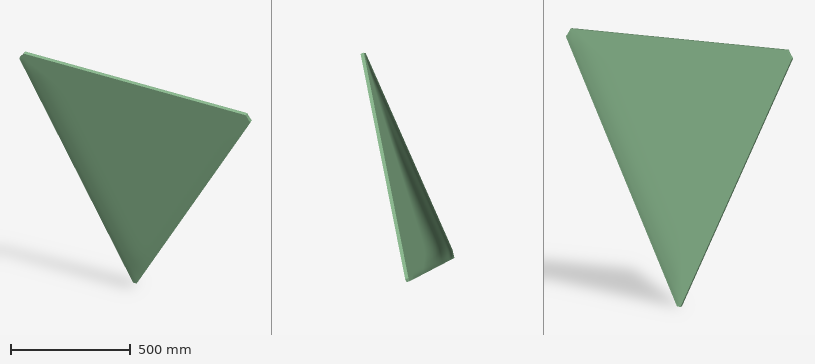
import cadquery as cq
import math

height = 1142.0
width = 1041.0
thickness = 15.0

top_width = 1000.0
corner_drop = 34.0
corner_scoop = 1.5
tip_width = 16.0


def scoop_middle(side):
    """Midpoint of the concave corner arc; side is +1 for right, -1 for left."""
    corner_run = (width - top_width) / 2
    chord = math.hypot(corner_run, corner_drop)
    x = (width + top_width) / 4 - corner_scoop * corner_drop / chord
    z = height - corner_drop / 2 - corner_scoop * corner_run / chord
    return (side * x, z)


shoulder_z = height - corner_drop
outline = (
    cq.Workplane("XZ")
    .moveTo(-tip_width / 2, 0)
    .lineTo(tip_width / 2, 0)
    .lineTo(width / 2, shoulder_z)
    .threePointArc(scoop_middle(1), (top_width / 2, height))
    .lineTo(-top_width / 2, height)
    .threePointArc(scoop_middle(-1), (-width / 2, shoulder_z))
    .close()
)

result = outline.extrude(thickness)